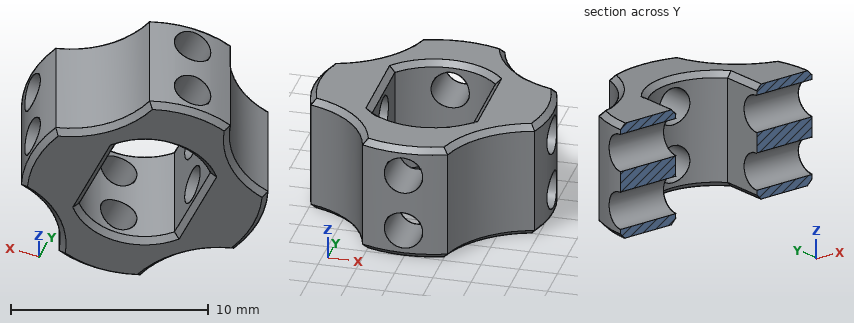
import cadquery as cq

outer_diameter = 12.5
outer_radius = outer_diameter / 2
height = 6.25
edge_chamfer = 0.3

scallop_count = 4
scallop_radius = 5.0
scallop_center_distance = 10.0
first_scallop_angle = 45

bore_diameter = 7.0
bore_flat_width = 5.25

cross_hole_diameter = 2.0
cross_hole_levels = (height / 4, height * 3 / 4)


def make_body():
    """Disc with scallops cut into its rim, leaving a lobe on each side of the X and Y axes."""
    disc = cq.Workplane("XY").circle(outer_radius).extrude(height)
    scallops = (
        cq.Workplane("XY")
        .polarArray(scallop_center_distance, first_scallop_angle, 360, scallop_count)
        .circle(scallop_radius)
        .extrude(height)
    )
    return disc.cut(scallops)


def make_bore():
    """Round bore narrowed by two flats perpendicular to X."""
    cylinder = cq.Workplane("XY").circle(bore_diameter / 2).extrude(height)
    flats = cq.Workplane("XY").rect(bore_flat_width, bore_diameter).extrude(height)
    return cylinder.intersect(flats)


def make_cross_holes(plane):
    """Holes at every level, running right through the ring along the normal of the plane."""
    centers = [(0, level) for level in cross_hole_levels]
    return (
        cq.Workplane(plane)
        .pushPoints(centers)
        .circle(cross_hole_diameter / 2)
        .extrude(outer_radius, both=True)
    )


ring = make_body().cut(make_bore())
result = ring.faces("|Z").edges().chamfer(edge_chamfer)
for hole_plane in ("YZ", "XZ"):
    result = result.cut(make_cross_holes(hole_plane))